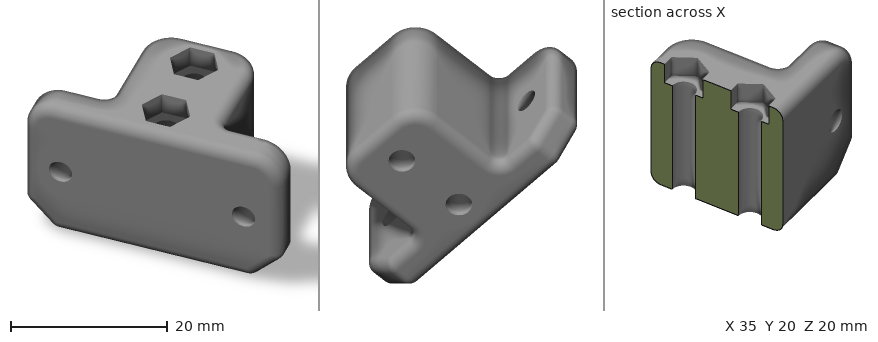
import cadquery as cq

plate_width = 35.0
plate_thickness = 5.0
height = 20.0
depth = 20.0
block_width = 15.0

edge_radius = 1.5
corner_radius = 4.0
bottom_chamfer = 4.0

plate_hole_diameter = 3.2
plate_hole_spacing = 25.0
bolt_diameter = 3.4
bolt_spacing = 10.0
nut_corner_diameter = 6.6
nut_depth = 3.0

cut_margin = 0.35


def flat_plate():
    """Upright plate: round upper corners, bevelled lower corners."""
    blank = cq.Workplane("XY").box(plate_width, plate_thickness, height, centered=(True, False, False))
    rounded = blank.edges("|Y and >Z").fillet(corner_radius)
    bevelled = rounded.edges("|Y and <Z").chamfer(bottom_chamfer)
    bevel_ends = cq.selectors.BoxSelector(
        (-plate_width, -cut_margin, -cut_margin),
        (plate_width, plate_thickness + cut_margin, bottom_chamfer + cut_margin),
    )
    return bevelled.edges("|Y").edges(bevel_ends).fillet(edge_radius)


def rear_block():
    """Full-height block with rounded vertical rear corners."""
    block = cq.Workplane("XY").box(block_width, depth, height, centered=(True, False, False))
    return block.edges("|Z and >Y").fillet(corner_radius)


def rounded_body():
    """Plate and block joined, with every remaining edge rounded."""
    body = flat_plate().union(rear_block())
    half_block = block_width / 2
    inner_corners = cq.selectors.BoxSelector(
        (-half_block - cut_margin, plate_thickness - cut_margin, -cut_margin),
        (half_block + cut_margin, plate_thickness + cut_margin, height + cut_margin),
    )
    body = body.edges("|Z").edges(inner_corners).fillet(edge_radius)
    body = body.faces("<Y").edges().fillet(edge_radius)
    return body.edges("|X and >Y").fillet(edge_radius)


def plate_holes():
    """Horizontal screw holes through both ends of the plate."""
    half_spacing = plate_hole_spacing / 2
    return (
        cq.Workplane("XZ", origin=(0, -cut_margin, height / 2))
        .pushPoints([(-half_spacing, 0), (half_spacing, 0)])
        .circle(plate_hole_diameter / 2)
        .extrude(-(plate_thickness + 2 * cut_margin))
    )


def bolt_holes():
    """Vertical bolt holes with hexagonal nut pockets sunk in the top."""
    half_spacing = bolt_spacing / 2
    centres = [(0, depth / 2 - half_spacing), (0, depth / 2 + half_spacing)]
    shafts = (
        cq.Workplane("XY", origin=(0, 0, -cut_margin))
        .pushPoints(centres)
        .circle(bolt_diameter / 2)
        .extrude(height + 2 * cut_margin)
    )
    pockets = (
        cq.Workplane("XY", origin=(0, 0, height - nut_depth))
        .pushPoints(centres)
        .polygon(6, nut_corner_diameter)
        .extrude(nut_depth + cut_margin)
    )
    return shafts.union(pockets)


result = rounded_body().cut(plate_holes()).cut(bolt_holes())